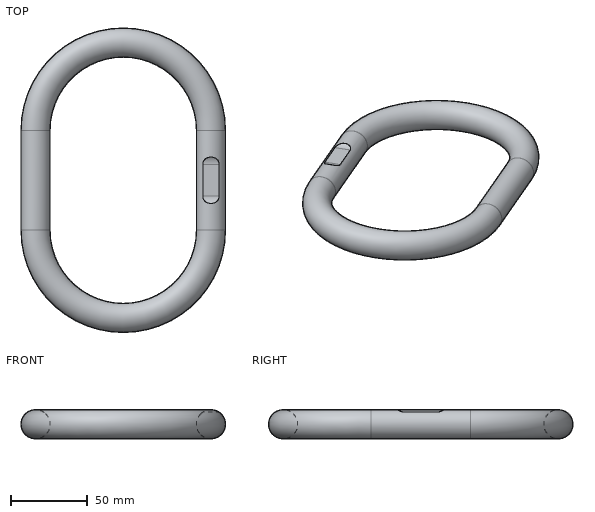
import cadquery as cq

length = 198.0
width = 133.0
wire_diameter = 19.0

flat_length = 20.5
flat_depth = 1.5
flat_end_radius = 8.0

wire_radius = wire_diameter / 2
straight_length = length - width
bend_radius = (width - wire_diameter) / 2
half_straight = straight_length / 2


def ring():
    """Round wire swept along two straights joined by half-circle bends."""
    path = (
        cq.Workplane("XY")
        .moveTo(bend_radius, -half_straight)
        .lineTo(bend_radius, half_straight)
        .threePointArc((0, half_straight + bend_radius), (-bend_radius, half_straight))
        .lineTo(-bend_radius, -half_straight)
        .threePointArc((0, -half_straight - bend_radius), (bend_radius, -half_straight))
        .close()
    )
    start = cq.Workplane("XZ", origin=(bend_radius, -half_straight, 0))
    return start.circle(wire_radius).sweep(path)


def flat_cutter():
    """Level floor whose ends curve up tangentially, cut across the wire."""
    floor_z = wire_radius - flat_depth
    half_flat = flat_length / 2
    end_y = half_flat + flat_end_radius
    end_z = floor_z + flat_end_radius
    profile = (
        cq.Workplane("YZ", origin=(bend_radius, 0, 0))
        .moveTo(-half_flat, floor_z)
        .lineTo(half_flat, floor_z)
        .radiusArc((end_y, end_z), -flat_end_radius)
        .lineTo(-end_y, end_z)
        .radiusArc((-half_flat, floor_z), -flat_end_radius)
        .close()
    )
    return profile.extrude(wire_radius, both=True)


result = ring().cut(flat_cutter())